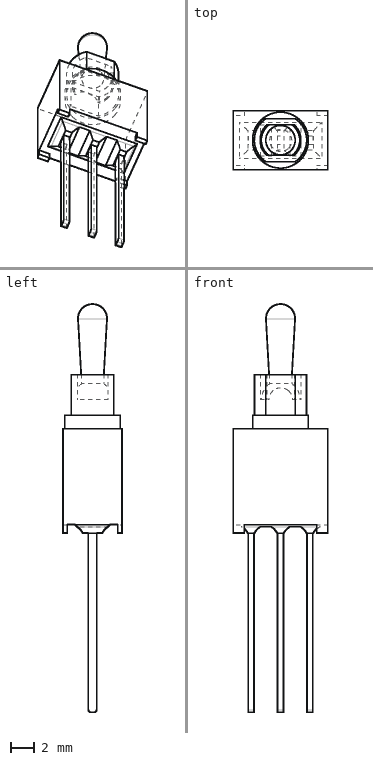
import cadquery as cq

overall_height = 35.03

housing_length = 8.13
housing_width = 5.08
housing_bottom = 15.38
housing_top = 24.35
foot_height = 0.75
foot_gap_x = 6.2
foot_gap_y = 4.3
recess_ceiling = housing_bottom + foot_height

collar_diameter = 4.8
collar_top = 25.5
bushing_diameter = 4.5
bushing_flats = 3.68
bushing_top = 28.97
bore_diameter = 3.5
bore_flats = 2.63

ball_radius = 1.65
ball_center_z = bushing_top - 2.1
lever_base_radius = 0.95
lever_base_z = 28.2
lever_tip_radius = 1.25
lever_shoulder_z = overall_height - lever_tip_radius

pin_pitch = 2.52
pin_thickness = 0.53
pin_width = 0.75
pin_tip_fillet = 0.25
pin_positions = [-pin_pitch, 0, pin_pitch]

bed_thickness = 0.2
mound_bottom_length = 0.6
mound_bottom_width = 1.68
mound_flare = 0.5
mound_mid_flare = 0.18
mound_height = foot_height - bed_thickness
bed_bottom = recess_ceiling - bed_thickness
bed_margin = mound_flare + bed_thickness
bed_length = 2 * pin_pitch + mound_bottom_length + 2 * bed_margin
bed_width = mound_bottom_width + 2 * bed_margin


def block(size_x, size_y, bottom, top):
    """Box centred on the Z axis between two heights."""
    return cq.Workplane("XY").workplane(offset=bottom).rect(size_x, size_y).extrude(top - bottom)


def flatted_cylinder(diameter, flats, bottom, top):
    """Cylinder on the Z axis with two flats facing -Y and +Y."""
    cylinder = cq.Workplane("XY").workplane(offset=bottom).circle(diameter / 2).extrude(top - bottom)
    return cylinder.intersect(block(diameter, flats, bottom, top))


def make_housing():
    body = block(housing_length, housing_width, housing_bottom, housing_top)
    body = body.cut(block(foot_gap_x, housing_width, housing_bottom, recess_ceiling))
    return body.cut(block(housing_length, foot_gap_y, housing_bottom, recess_ceiling))


def make_bushing():
    collar = cq.Workplane("XY").workplane(offset=housing_top).circle(collar_diameter / 2)
    collar = collar.extrude(collar_top - housing_top)
    bushing = flatted_cylinder(bushing_diameter, bushing_flats, collar_top, bushing_top)
    bore = flatted_cylinder(bore_diameter, bore_flats, ball_center_z, bushing_top)
    return collar.union(bushing).cut(bore)


def make_lever():
    handle = (
        cq.Workplane("XZ")
        .moveTo(0, ball_center_z)
        .lineTo(lever_base_radius, ball_center_z)
        .lineTo(lever_base_radius, lever_base_z)
        .lineTo(lever_tip_radius, lever_shoulder_z)
        .radiusArc((0, overall_height), -lever_tip_radius)
        .close()
        .revolve(360, (0, 0), (0, 1))
    )
    ball = cq.Workplane("XY").sphere(ball_radius).translate((0, 0, ball_center_z))
    ball = ball.intersect(block(2 * ball_radius, bore_flats, ball_center_z, bushing_top))
    return handle.union(ball)


def flared_ridge(plane, bottom_width, length):
    """Ridge with concave flanks that widens upward, drawn on a vertical plane and extruded both ways."""
    half_width = bottom_width / 2
    mid_width = half_width + mound_mid_flare
    top_width = half_width + mound_flare
    mid_z = bed_bottom - mound_height / 2
    return (
        cq.Workplane(plane)
        .moveTo(-half_width, housing_bottom)
        .lineTo(half_width, housing_bottom)
        .threePointArc((mid_width, mid_z), (top_width, bed_bottom))
        .lineTo(-top_width, bed_bottom)
        .threePointArc((-mid_width, mid_z), (-half_width, housing_bottom))
        .close()
        .extrude(length / 2, both=True)
    )


def make_mound():
    """Rectangular resin mound whose four concave flanks meet at mitred corners."""
    across_x = flared_ridge("XZ", mound_bottom_length, bed_width)
    across_y = flared_ridge("YZ", mound_bottom_width, bed_length)
    return across_x.intersect(across_y)


def make_resin():
    bed = cq.Workplane("XY").workplane(offset=recess_ceiling).rect(bed_length, bed_width)
    resin = bed.extrude(-bed_thickness, taper=45)
    mound = make_mound()
    for x in pin_positions:
        resin = resin.union(mound.translate((x, 0, 0)))
    return resin


def make_pin():
    pin = block(pin_thickness, pin_width, 0, recess_ceiling)
    return pin.faces("<Z").edges("|X").fillet(pin_tip_fillet)


result = make_housing().union(make_bushing()).union(make_lever()).union(make_resin())
for pin_x in pin_positions:
    result = result.union(make_pin().translate((pin_x, 0, 0)))